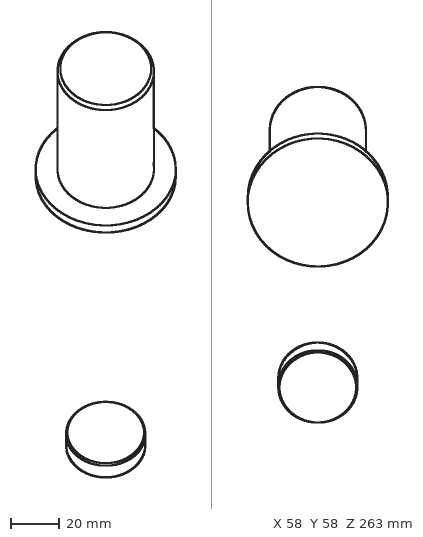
import cadquery as cq
import math

total_height = 263.0

flange_diameter = 58.0
flange_thickness = 5.0
pin_diameter = 40.0
pin_length = 70.0
pin_chamfer_height = 2.0

disc_diameter = 33.0
disc_thickness = 10.0
disc_chamfer_height = 1.0

chamfer_angle = math.radians(30)


def make_chamfer_cone(diameter, height):
    """Truncated cone that forms a chamfered rim, widest at Z = 0 and narrowing upwards."""
    radius = diameter / 2
    top_radius = radius - height * math.tan(chamfer_angle)
    return cq.Workplane(cq.Solid.makeCone(radius, top_radius, height))


def make_flanged_pin():
    """Round pin with a chamfered top, standing on a thin round flange."""
    straight_length = pin_length - pin_chamfer_height
    flange = cq.Workplane("XY").circle(flange_diameter / 2).extrude(flange_thickness)
    shank = flange.faces(">Z").workplane().circle(pin_diameter / 2).extrude(straight_length)
    tip = make_chamfer_cone(pin_diameter, pin_chamfer_height)
    pin = shank.union(tip.translate((0, 0, flange_thickness + straight_length)))
    return pin.translate((0, 0, total_height - pin_length - flange_thickness))


def make_disc():
    """Plain round disc with both rims chamfered."""
    band_height = disc_thickness - 2 * disc_chamfer_height
    band_top = disc_thickness - disc_chamfer_height
    band = (
        cq.Workplane("XY", origin=(0, 0, disc_chamfer_height))
        .circle(disc_diameter / 2)
        .extrude(band_height)
    )
    rim = make_chamfer_cone(disc_diameter, disc_chamfer_height)
    upper_rim = rim.translate((0, 0, band_top))
    lower_rim = rim.mirror("XY").translate((0, 0, disc_chamfer_height))
    return band.union(upper_rim).union(lower_rim)


flanged_pin = make_flanged_pin()
disc = make_disc()

result = cq.Compound.makeCompound([*flanged_pin.solids().vals(), *disc.solids().vals()])